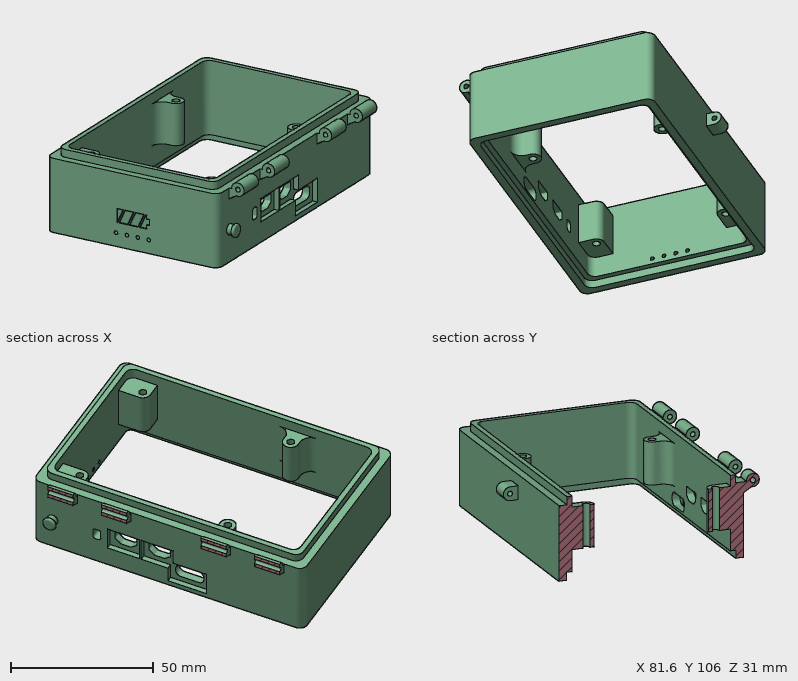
import cadquery as cq
import math

BODY_X = 70.0
BODY_Y = 106.0
BODY_TOP = 28.0
LIP_TOP = 31.0
LIP_INSET = 3.0
WALL = 5.0
CORNER_RADIUS = 3.0
REBATE_DEPTH = 2.0
REBATE_HEIGHT = 3.0

POST_X = 24.5
POST_REAR_Y = 18.0
POST_PITCH_Y = 58.0
POST_FRONT_Y = POST_REAR_Y - POST_PITCH_Y
POST_RADIUS = 3.0
POST_FLARE = 4.0
POST_HOLE = 2.8
POST_TOP = 26.9
POST_BOTTOM = 11.0
POST_HEIGHT = POST_TOP - POST_BOTTOM

EYE_RADIUS = 2.5
EYE_HOLE = 1.8
HINGE_REACH = 3.5
HINGE_Z = 28.1
HINGE_WIDTH = 10.0
HINGE_PITCH = 21.0
HINGE_INNER_Y = 19.5
GUSSET_DROP = 4.1
GUSSET_ANGLE = 257
LATCH_REACH = 3.1
LATCH_Z = 21.3
LATCH_WIDTH = 6.4

PIN_Y = -45.3
PIN_Z = 12.4
PIN_DIAMETER = 4.0
PIN_LENGTH = 1.8
HEAD_DIAMETER = 5.1
HEAD_LENGTH = 1.5
HEAD_TIP_DIAMETER = 3.4

POWER_Y = 7.4
POWER_Z = 6.4
POWER_LENGTH = 11.0
POWER_HEIGHT = 5.0
POWER_CORNER_RADIUS = 2.0
VIDEO_PORTS_Y = (-4.3, -17.6)
VIDEO_TOP = 14.5
VIDEO_HEIGHT = 4.8
VIDEO_LENGTH = 8.5
VIDEO_BOTTOM_LENGTH = 3.8
VIDEO_SIDE_HEIGHT = 3.1
VIDEO_CORNER_RADIUS = 0.5
POCKET_MARGIN = 2.0
POCKET_DEPTH = 2.0
SWITCH_Y = -28.0
SWITCH_Z = 12.4
SWITCH_HEIGHT = 4.5
SWITCH_WIDTH = 3.0
SWITCH_CORNER_RADIUS = 1.0

LED_COUNT = 4
LED_PITCH = 4.5
LED_DIAMETER = 1.4
LED_Z = 5.2
CELL_LEFT = -6.3
CELL_RIGHT = 5.8
CELL_BOTTOM = 9.1
CELL_TOP = 14.3
TERMINAL_LENGTH = 1.1
TERMINAL_HEIGHT = 2.2
STRIPE_COUNT = 3
STRIPE_PITCH = 4.2
STRIPE_WIDTH = 0.7
STRIPE_SLANT = 2.4
SYMBOL_DEPTH = 0.5

RIGHT_FACE = BODY_X / 2
LEFT_FACE = -BODY_X / 2
FRONT_FACE = -BODY_Y / 2
CAVITY_X = BODY_X / 2 - WALL
CAVITY_Y = BODY_Y / 2 - WALL

WALL_BITE = 1.1


def rounded_block(inset, height):
    """Block standing on the base, inset from the body outline, with rounded upright edges."""
    block = cq.Workplane("XY").rect(BODY_X - 2 * inset, BODY_Y - 2 * inset).extrude(height)
    return block.edges("|Z").fillet(CORNER_RADIUS)


def along_y(x, y, z):
    """Sketch plane facing -Y, with local x along +X and local y along +Z."""
    return cq.Workplane(cq.Plane((x, y, z), (1, 0, 0), (0, -1, 0)))


def along_x(x, y, z):
    """Sketch plane facing +X, with local x along +Y and local y along +Z."""
    return cq.Workplane(cq.Plane((x, y, z), (0, 1, 0), (1, 0, 0)))


def frame():
    shell = rounded_block(0, BODY_TOP).union(rounded_block(LIP_INSET, LIP_TOP))
    rebate = rounded_block(WALL - REBATE_DEPTH, REBATE_HEIGHT)
    return shell.cut(rounded_block(WALL, LIP_TOP)).cut(rebate)


def post_plane():
    return cq.Workplane("XY").workplane(offset=POST_BOTTOM)


def rear_post():
    """Round post joined to the +X wall by a web with flared roots."""
    r = POST_RADIUS
    flare_start_x = CAVITY_X - POST_FLARE
    flare_mid_x = flare_start_x + POST_FLARE * math.sin(math.pi / 4)
    mid_reach = r + POST_FLARE * (1 - math.cos(math.pi / 4))
    reach = r + POST_FLARE
    outline = (
        post_plane()
        .center(0, POST_REAR_Y)
        .moveTo(POST_X, r)
        .threePointArc((POST_X - r, 0), (POST_X, -r))
        .lineTo(flare_start_x, -r)
        .threePointArc((flare_mid_x, -mid_reach), (CAVITY_X, -reach))
        .lineTo(CAVITY_X + WALL_BITE, -reach)
        .lineTo(CAVITY_X + WALL_BITE, reach)
        .lineTo(CAVITY_X, reach)
        .threePointArc((flare_mid_x, mid_reach), (flare_start_x, r))
        .close()
    )
    return outline.extrude(POST_HEIGHT)


def front_post():
    """Block filling the front corner, rounded around its hole."""
    inner_x = POST_X - POST_RADIUS
    rear_y = POST_FRONT_Y + POST_RADIUS
    size_x = CAVITY_X + WALL_BITE - inner_x
    size_y = rear_y + CAVITY_Y + WALL_BITE
    block = (
        post_plane()
        .center(inner_x + size_x / 2, rear_y - size_y / 2)
        .rect(size_x, size_y)
        .extrude(POST_HEIGHT)
    )
    return block.edges("|Z and <X and >Y").fillet(POST_RADIUS)


def posts():
    right_pair = rear_post().union(front_post())
    drills = (
        post_plane()
        .pushPoints([(POST_X, POST_REAR_Y), (POST_X, POST_FRONT_Y)])
        .circle(POST_HOLE / 2)
        .extrude(POST_HEIGHT)
    )
    right_pair = right_pair.cut(drills)
    return right_pair.union(right_pair.mirror("YZ"))


def hinge(center_y):
    """Hinge eye carried on a gusset whose flat top is level with the body top."""
    end_y = center_y + HINGE_WIDTH / 2
    eye_plane = along_y(RIGHT_FACE + HINGE_REACH, end_y, HINGE_Z)
    angle = math.radians(GUSSET_ANGLE)
    gusset_tip = (HINGE_REACH + EYE_RADIUS * math.cos(angle), HINGE_Z + EYE_RADIUS * math.sin(angle))
    gusset_foot = BODY_TOP - GUSSET_DROP
    gusset = along_y(RIGHT_FACE, end_y, 0).polyline(
        [
            (-WALL_BITE, BODY_TOP),
            (HINGE_REACH, BODY_TOP),
            gusset_tip,
            (0, gusset_foot),
            (-WALL_BITE, gusset_foot),
        ]
    ).close().extrude(HINGE_WIDTH)
    eye = eye_plane.circle(EYE_RADIUS).extrude(HINGE_WIDTH)
    bore = eye_plane.circle(EYE_HOLE / 2).extrude(HINGE_WIDTH)
    return eye.union(gusset).cut(bore)


def latch():
    """Round-ended lug on the -X wall with a bore along Y."""
    plane = along_y(LEFT_FACE - LATCH_REACH, LATCH_WIDTH / 2, LATCH_Z)
    arm_length = LATCH_REACH + WALL_BITE
    eye = plane.circle(EYE_RADIUS).extrude(LATCH_WIDTH)
    bore = plane.circle(EYE_HOLE / 2).extrude(LATCH_WIDTH)
    arm = plane.center(arm_length / 2, 0).rect(arm_length, 2 * EYE_RADIUS).extrude(LATCH_WIDTH)
    return eye.union(arm).cut(bore)


def pin():
    """Short pin with a rounded, bulging head, turned about an axis along X."""
    shaft_end = WALL_BITE + PIN_LENGTH
    tip = shaft_end + HEAD_LENGTH
    profile = (
        cq.Workplane("XY", origin=(RIGHT_FACE - WALL_BITE, PIN_Y, PIN_Z))
        .lineTo(0, PIN_DIAMETER / 2)
        .lineTo(shaft_end, PIN_DIAMETER / 2)
        .threePointArc((shaft_end + HEAD_LENGTH / 2, HEAD_DIAMETER / 2), (tip, HEAD_TIP_DIAMETER / 2))
        .lineTo(tip, 0)
        .close()
    )
    return profile.revolve(360, (0, 0, 0), (1, 0, 0))


def pocket(center_y, center_z, length, height):
    """Rectangular recess in the outside face, wider all round than the opening inside it."""
    plane = along_x(RIGHT_FACE - POCKET_DEPTH, center_y, center_z)
    return plane.rect(length + 2 * POCKET_MARGIN, height + 2 * POCKET_MARGIN).extrude(POCKET_DEPTH)


def power_port():
    opening = along_x(CAVITY_X, POWER_Y, POWER_Z).rect(POWER_LENGTH, POWER_HEIGHT).extrude(WALL)
    opening = opening.edges("|X").fillet(POWER_CORNER_RADIUS)
    return opening.union(pocket(POWER_Y, POWER_Z, POWER_LENGTH, POWER_HEIGHT))


def video_port(center_y):
    """Opening with upright sides above and a narrower floor joined by sloping sides."""
    half_top = VIDEO_LENGTH / 2
    half_bottom = VIDEO_BOTTOM_LENGTH / 2
    plane = along_x(CAVITY_X, center_y, VIDEO_TOP)
    opening = plane.polyline(
        [
            (-half_top, 0),
            (half_top, 0),
            (half_top, -VIDEO_SIDE_HEIGHT),
            (half_bottom, -VIDEO_HEIGHT),
            (-half_bottom, -VIDEO_HEIGHT),
            (-half_top, -VIDEO_SIDE_HEIGHT),
        ]
    ).close().extrude(WALL)
    opening = opening.edges("|X").fillet(VIDEO_CORNER_RADIUS)
    return opening.union(pocket(center_y, VIDEO_TOP - VIDEO_HEIGHT / 2, VIDEO_LENGTH, VIDEO_HEIGHT))


def switch_slot():
    """Upright slot with rounded corners through the wall."""
    slot = along_x(CAVITY_X, SWITCH_Y, SWITCH_Z).rect(SWITCH_WIDTH, SWITCH_HEIGHT).extrude(WALL)
    return slot.edges("|X").fillet(SWITCH_CORNER_RADIUS)


def indicator_holes():
    first = -LED_PITCH * (LED_COUNT - 1) / 2
    centers = [(first + i * LED_PITCH, 0) for i in range(LED_COUNT)]
    return along_y(0, FRONT_FACE + WALL, LED_Z).pushPoints(centers).circle(LED_DIAMETER / 2).extrude(WALL)


def battery_symbol():
    """Shallow battery-shaped recess crossed by slanted stripes left at full height."""
    height = CELL_TOP - CELL_BOTTOM
    width = CELL_RIGHT - CELL_LEFT
    floor_y = FRONT_FACE + SYMBOL_DEPTH
    plane = along_y(CELL_LEFT, floor_y, CELL_BOTTOM)
    cell = plane.rect(width, height, centered=False).extrude(SYMBOL_DEPTH)
    terminal = (
        along_y(CELL_RIGHT + TERMINAL_LENGTH / 2, floor_y, CELL_BOTTOM + height / 2)
        .rect(TERMINAL_LENGTH, TERMINAL_HEIGHT)
        .extrude(SYMBOL_DEPTH)
    )
    recess = cell.union(terminal)
    for i in range(STRIPE_COUNT):
        start = i * STRIPE_PITCH
        stripe = plane.polyline(
            [
                (start, 0),
                (start + STRIPE_WIDTH, 0),
                (start + STRIPE_WIDTH + STRIPE_SLANT, height),
                (start + STRIPE_SLANT, height),
            ]
        ).close().extrude(SYMBOL_DEPTH)
        recess = recess.cut(stripe)
    return recess


result = frame().union(posts()).union(latch()).union(pin())
for side in (-1, 1):
    for step in (0, 1):
        result = result.union(hinge(side * (HINGE_INNER_Y + step * HINGE_PITCH)))
for center_y in VIDEO_PORTS_Y:
    result = result.cut(video_port(center_y))
result = result.cut(power_port()).cut(switch_slot()).cut(indicator_holes()).cut(battery_symbol())